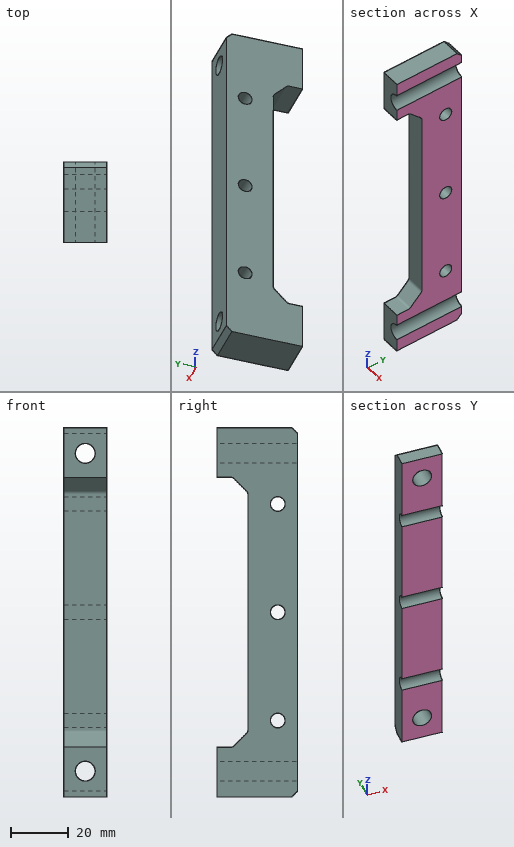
import cadquery as cq

width = 15.0
depth = 28.0
height = 128.0

foot_height = 17.3
relief_depth = 10.8
relief_chamfer = 5.2
relief_fillet = 1.5

back_chamfer = 2.0

foot_hole_diameter = 6.8
foot_hole_inset = 9.0
side_hole_diameter = 5.0
side_hole_spacing = 37.5
side_hole_from_back = 6.9

front = -depth / 2
back = depth / 2
half_height = height / 2
foot_edge = half_height - foot_height
relief_floor = front + relief_depth
chamfer_start = relief_floor - relief_chamfer


def make_body():
    """Side profile in the YZ plane, extruded symmetrically across the width."""
    upper_half = [
        (relief_floor, foot_edge - relief_chamfer),
        (chamfer_start, foot_edge),
        (front, foot_edge),
        (front, half_height),
        (back - back_chamfer, half_height),
        (back, half_height - back_chamfer),
    ]
    lower_half = [(y, -z) for y, z in reversed(upper_half)]
    body = cq.Workplane("YZ").polyline(upper_half + lower_half).close().extrude(width / 2, both=True)
    for y, z in upper_half[:2]:
        for corner_z in (z, -z):
            corner = cq.selectors.NearestToPointSelector((0, y, corner_z))
            body = body.edges("|X").edges(corner).fillet(relief_fillet)
    return body


def make_foot_holes():
    """One hole along Y through each foot."""
    hole_z = half_height - foot_hole_inset
    return (
        cq.Workplane("XZ")
        .pushPoints([(0, hole_z), (0, -hole_z)])
        .circle(foot_hole_diameter / 2)
        .extrude(depth, both=True)
    )


def make_side_holes():
    """Row of three holes along X near the back face."""
    hole_y = back - side_hole_from_back
    return (
        cq.Workplane("YZ")
        .pushPoints([(hole_y, row * side_hole_spacing) for row in (-1, 0, 1)])
        .circle(side_hole_diameter / 2)
        .extrude(width, both=True)
    )


result = make_body().cut(make_foot_holes()).cut(make_side_holes())